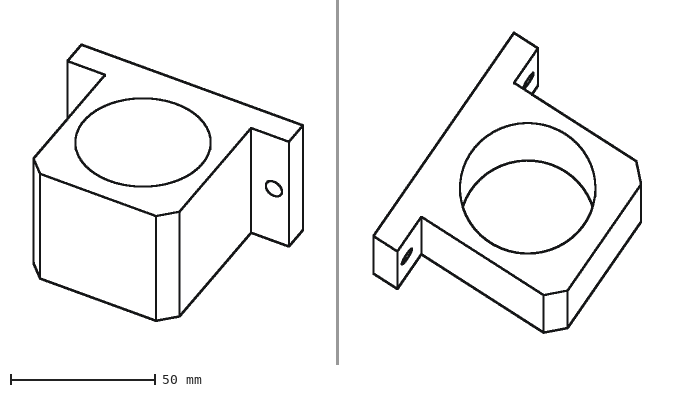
import cadquery as cq

plate_width = 88.0
plate_thickness = 10.0
height = 48.0
total_depth = 67.0

body_width = 58.0
corner_chamfer = 6.0

bore_diameter = 47.0
bore_from_back = 35.0

mount_hole_diameter = 6.4
mount_hole_spacing = 76.0

back_y = total_depth / 2


def make_plate():
    """Flat mounting plate along the back."""
    return cq.Workplane("XY").box(plate_width, plate_thickness, height).translate(
        (0, back_y - plate_thickness / 2, 0)
    )


def make_body():
    """Block running from the back face to the front, with chamfered front corners."""
    block = cq.Workplane("XY").box(body_width, total_depth, height)
    return block.faces("<Y").edges("|Z").chamfer(corner_chamfer)


def make_bore():
    """Vertical cutter for the through bore."""
    return (
        cq.Workplane("XY", origin=(0, back_y - bore_from_back, -height / 2))
        .circle(bore_diameter / 2)
        .extrude(height)
    )


def make_mount_holes():
    """Pair of cutters along Y, one through each plate ear."""
    return (
        cq.Workplane("XZ", origin=(0, back_y, 0))
        .pushPoints([(side * mount_hole_spacing / 2, 0) for side in (-1, 1)])
        .circle(mount_hole_diameter / 2)
        .extrude(plate_thickness)
    )


result = make_plate().union(make_body()).cut(make_bore()).cut(make_mount_holes())